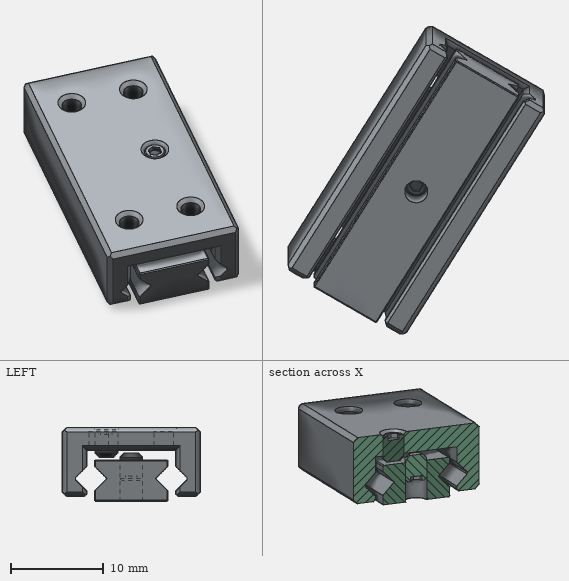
import cadquery as cq
import math

length = 30.0
housing_width = 15.0
housing_lift = 0.5
overall_height = 8.0
housing_chamfer = 0.5

channel_width = 9.6
channel_roof = 5.52
lip_chamfer = 0.3

rail_width = 7.98
rail_height = 4.5
rail_chamfer = 0.12

groove_height = 2.45
groove_depth = 1.35
groove_floor = 0.25

hole_spacing_x = 19.98
hole_spacing_y = 7.02
hole_diameter = 2.13
countersink_diameter = 3.0

screw_diameter = 2.5
screw_length = 3.0
screw_tip_chamfer = 0.48
screw_head_chamfer = 0.25
socket_width = 1.25
socket_depth = 0.5

housing_screw_y = 2.7
housing_screw_tip = 4.77
rail_screw_tip = 5.25

housing_height = overall_height - housing_lift
half_channel = channel_width / 2
half_rail = rail_width / 2
screw_radius = screw_diameter / 2


def extrude_along_length(outline):
    """Extrude a closed (Y, Z) outline over the full length, centred on X = 0."""
    return cq.Workplane("YZ").polyline(outline).close().extrude(length / 2, both=True)


def solid_screw():
    """Set screw without its socket, standing on Z = 0 with its tip up; also the shape of its seat."""
    profile = [
        (0, 0),
        (screw_radius - screw_head_chamfer, 0),
        (screw_radius, screw_head_chamfer),
        (screw_radius, screw_length - screw_tip_chamfer),
        (screw_radius - screw_tip_chamfer, screw_length),
        (0, screw_length),
    ]
    return cq.Workplane("XZ").polyline(profile).close().revolve(360, (0, 0, 0), (0, 1, 0))


def cut_socket(screw):
    """Cut the hexagon socket into the end opposite the tip, with two corners along X."""
    width_across_corners = 2 * socket_width / math.sqrt(3)
    socket = cq.Workplane("XY").polygon(6, width_across_corners).extrude(socket_depth)
    return screw.cut(socket)


def place_housing_screw(screw):
    """Turn a screw tip down and move it to its place in the housing."""
    turned = screw.rotate((0, 0, 0), (1, 0, 0), 180)
    return turned.translate((0, housing_screw_y, housing_screw_tip + screw_length))


def place_rail_screw(screw):
    """Move a screw, tip up, to its place in the middle of the rail."""
    return screw.translate((0, 0, rail_screw_tip - screw_length))


def chamfered_block(width, height, chamfer):
    """Full-length block standing on Z = 0; its corner chamfers meet in plain mitres."""
    block = cq.Workplane("XY").box(length, width, height, centered=(True, True, False))
    shaped = block
    for direction in ("|X", "|Y", "|Z"):
        shaped = shaped.intersect(block.edges(direction).chamfer(chamfer))
    return shaped


def channel_cut():
    """Straight channel, open downward, with a 45 degree flare at each end."""
    height = channel_roof - housing_lift
    channel = cq.Workplane("XY").box(length, channel_width, height, centered=(True, True, False))
    flare = (
        cq.Workplane("YZ", origin=(length / 2, 0, 0))
        .rect(channel_width + 2 * housing_chamfer, 2 * (height + housing_chamfer))
        .workplane(offset=-housing_chamfer)
        .rect(channel_width, 2 * height)
        .loft(ruled=True)
    )
    return channel.union(flare).union(flare.mirror("YZ"))


def housing_blank():
    """U-shaped block with its outer edges and both channel mouths chamfered."""
    blank = chamfered_block(housing_width, housing_height, housing_chamfer).cut(channel_cut())
    return blank.translate((0, 0, housing_lift))


def housing_side_cut(side):
    """Ball-track groove and lip chamfer of one housing leg; side is +1 or -1 in Y."""
    flat = groove_floor / 2
    floor = half_channel + groove_depth - flat
    groove = [
        (side * half_channel, groove_height + groove_depth),
        (side * floor, groove_height + flat),
        (side * floor, groove_height - flat),
        (side * half_channel, groove_height - groove_depth),
    ]
    lip = [
        (side * half_channel, housing_lift),
        (side * half_channel, housing_lift + lip_chamfer),
        (side * (half_channel + lip_chamfer), housing_lift),
    ]
    return extrude_along_length(groove).union(extrude_along_length(lip))


def countersink_cone(x, y):
    """45 degree countersink cone whose wide end lies in the housing top face."""
    radius = countersink_diameter / 2
    cone = cq.Solid.makeCone(radius, 0, radius, pnt=cq.Vector(x, y, overall_height), dir=cq.Vector(0, 0, -1))
    return cq.Workplane(obj=cone)


def build_housing():
    """Housing with ball tracks, four countersunk mounting holes and the seat of its screw."""
    housing = housing_blank()
    for side in (-1, 1):
        housing = housing.cut(housing_side_cut(side))
    housing = (
        housing.faces(">Z").workplane(origin=(0, 0, overall_height))
        .rarray(hole_spacing_x, hole_spacing_y, 2, 2)
        .cskHole(hole_diameter, countersink_diameter, 90)
    )
    return housing.cut(countersink_cone(0, housing_screw_y)).cut(place_housing_screw(solid_screw()))


def build_rail():
    """Rail block with a sharp V-groove along each side and a through bore for its screw."""
    rail = chamfered_block(rail_width, rail_height, rail_chamfer)
    for side in (-1, 1):
        groove = [
            (side * half_rail, groove_height + groove_depth),
            (side * (half_rail - groove_depth), groove_height),
            (side * half_rail, groove_height - groove_depth),
        ]
        rail = rail.cut(extrude_along_length(groove))
    bore = cq.Workplane("XY").circle(screw_radius).extrude(rail_height)
    return rail.cut(bore)


housing = build_housing()
rail = build_rail()
screw_placements = (place_housing_screw, place_rail_screw)
set_screws = [place(cut_socket(solid_screw())) for place in screw_placements]

result = cq.Compound.makeCompound([housing.val(), rail.val(), *[screw.val() for screw in set_screws]])